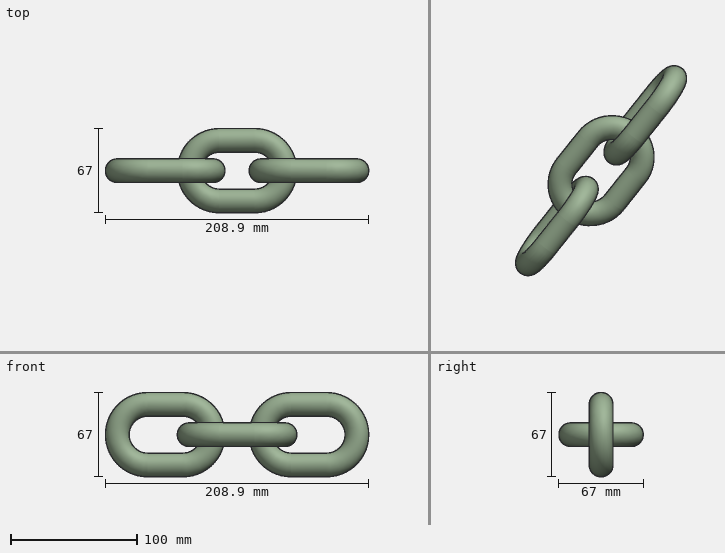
import cadquery as cq

chain_length = 208.9
link_width = 67.0
wire_diameter = 19.0
link_count = 3

link_length = (chain_length + 2 * (link_count - 1) * wire_diameter) / link_count
pitch = link_length - 2 * wire_diameter
straight_length = link_length - link_width
bend_radius = (link_width - wire_diameter) / 2


def make_link():
    """Closed oval link of round wire, lying in the XZ plane and centred on the origin."""
    half_straight = straight_length / 2
    centreline = (
        cq.Workplane("XZ")
        .moveTo(-half_straight, bend_radius)
        .lineTo(half_straight, bend_radius)
        .threePointArc((half_straight + bend_radius, 0), (half_straight, -bend_radius))
        .lineTo(-half_straight, -bend_radius)
        .threePointArc((-half_straight - bend_radius, 0), (-half_straight, bend_radius))
        .close()
    )
    return (
        cq.Workplane("YZ", origin=(-half_straight, 0, bend_radius))
        .circle(wire_diameter / 2)
        .sweep(centreline)
    )


links = []
for index in range(link_count):
    link = make_link()
    if index % 2 == 1:
        link = link.rotate((0, 0, 0), (1, 0, 0), 90)
    offset = (index - (link_count - 1) / 2) * pitch
    links.append(link.translate((offset, 0, 0)).val())

result = cq.Compound.makeCompound(links)